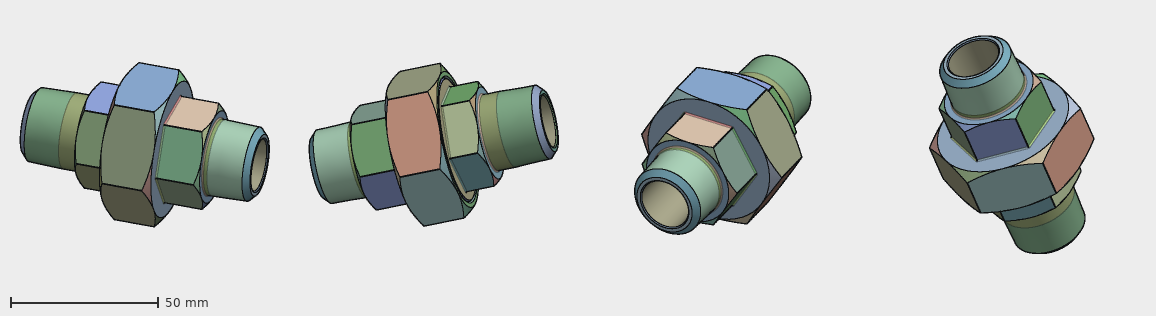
import cadquery as cq
import math

total_length = 82.0

left_hex_start = 21.1
nut_start = 32.5
nut_end = 50.8
right_hex_end = 65.8

nut_across_flats = 47.1
body_across_flats = 31.9
hex_chamfer_angle = 30.0
hex_root_radius = 0.5
hex_corner_bevel = 0.15

pipe_diameter = 26.4
taper_length = 12.4
taper_ratio = 1 / 16
end_chamfer = 2.1
pipe_root_radius = 0.5

bore_diameter = 18.0
bore_chamfer = 0.4

groove_bottom_diameter = 43.0
groove_depth = 0.5


def revolve_about_x(profile):
    """Turn a closed (x, radius) sketch into a solid of revolution about the X axis."""
    return profile.close().revolve(360, (0, 0, 0), (1, 0, 0))


def hexagon(start, end, across_flats):
    """Hexagonal prism along X with lightly bevelled corner edges."""
    across_corners = across_flats / math.cos(math.pi / 6)
    prism = cq.Workplane("YZ", origin=(start, 0, 0)).polygon(6, across_corners).extrude(end - start)
    return prism.edges("|X").chamfer(hex_corner_bevel)


def chamfered_hexagon(start, end, across_flats, chamfer_start, chamfer_end):
    """Hexagonal prism whose corners are turned off conically at the chosen ends."""
    flat_radius = across_flats / 2
    outer_radius = flat_radius / math.cos(math.pi / 6)
    setback = (outer_radius - flat_radius) * math.tan(math.radians(hex_chamfer_angle))

    start_radius = flat_radius if chamfer_start else outer_radius
    end_radius = flat_radius if chamfer_end else outer_radius

    envelope = cq.Workplane("XY").moveTo(start, 0).lineTo(start, start_radius)
    if chamfer_start:
        envelope = envelope.lineTo(start + setback, outer_radius)
    if chamfer_end:
        envelope = envelope.lineTo(end - setback, outer_radius)
    envelope = envelope.lineTo(end, end_radius)
    envelope = envelope.lineTo(end, 0)
    return hexagon(start, end, across_flats).intersect(revolve_about_x(envelope))


def pipe_end(tip, root, direction):
    """Tapered pipe from its chamfered tip to the hexagon face; direction is +1 or -1 along X."""
    pipe_radius = pipe_diameter / 2
    taper_end = tip + direction * (end_chamfer + taper_length)
    tip_radius = pipe_radius - taper_length * taper_ratio / 2
    profile = (
        cq.Workplane("XY")
        .moveTo(tip, 0)
        .lineTo(tip, tip_radius - end_chamfer)
        .lineTo(tip + direction * end_chamfer, tip_radius)
        .lineTo(taper_end, pipe_radius)
        .lineTo(root - direction * pipe_root_radius, pipe_radius)
        .radiusArc((root, pipe_radius + pipe_root_radius), -direction * pipe_root_radius)
        .lineTo(root, 0)
    )
    return revolve_about_x(profile)


def collar_groove():
    """Ring with 45 degree walls cut into the left nut face around the collar."""
    bottom_radius = groove_bottom_diameter / 2
    profile = (
        cq.Workplane("XY")
        .moveTo(nut_start, bottom_radius - groove_depth)
        .lineTo(nut_start + groove_depth, bottom_radius)
        .lineTo(nut_start, bottom_radius + groove_depth)
    )
    return revolve_about_x(profile)


def bore():
    """Through bore with a chamfer at each mouth."""
    bore_radius = bore_diameter / 2
    mouth_radius = bore_radius + bore_chamfer
    profile = (
        cq.Workplane("XY")
        .lineTo(0, mouth_radius)
        .lineTo(bore_chamfer, bore_radius)
        .lineTo(total_length - bore_chamfer, bore_radius)
        .lineTo(total_length, mouth_radius)
        .lineTo(total_length, 0)
    )
    return revolve_about_x(profile)


def root_edges(x):
    """Selects the edges where a body hexagon meets the nut face at x."""
    plane_tolerance = 0.01
    reach = body_across_flats / 2 / math.cos(math.pi / 6)
    low_corner = (x - plane_tolerance, -reach, -reach)
    high_corner = (x + plane_tolerance, reach, reach)
    return cq.selectors.BoxSelector(low_corner, high_corner)


nut = chamfered_hexagon(nut_start, nut_end, nut_across_flats, True, True)
left_hex = chamfered_hexagon(left_hex_start, nut_start, body_across_flats, True, False)
right_hex = chamfered_hexagon(nut_end, right_hex_end, body_across_flats, False, True)
body = nut.union(left_hex).union(right_hex)
for nut_face in (nut_start, nut_end):
    body = body.edges(root_edges(nut_face)).fillet(hex_root_radius)

body = body.union(pipe_end(0, left_hex_start, 1))
body = body.union(pipe_end(total_length, right_hex_end, -1))
result = body.cut(collar_groove()).cut(bore())